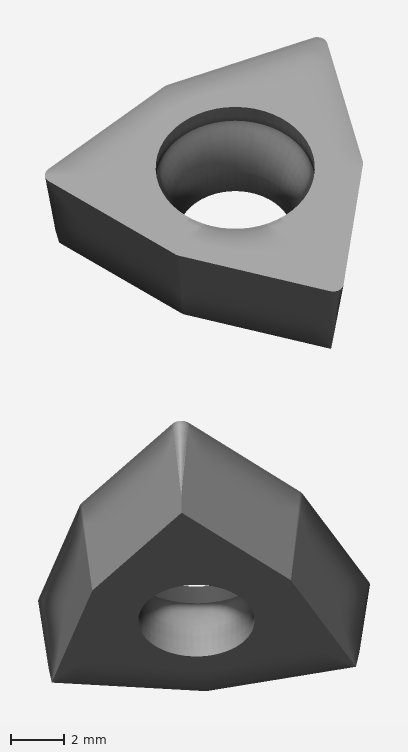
import cadquery as cq
import math

width_x = 12.38
thickness = 3.97
nose_radius = 0.4
relief_angle = 7.0
nose_angle = 80.0
nose_directions = (-140.0, -20.0, 100.0)

counterbore_diameter = 6.0
counterbore_depth = 0.8
bore_diameter = 4.4
seat_radius = 3.0


def polar(radius, degrees):
    angle = math.radians(degrees)
    return (radius * math.cos(angle), radius * math.sin(angle))


left_nose, right_nose, _ = nose_directions
nose_span = polar(1, right_nose)[0] - polar(1, left_nose)[0]
core_nose_distance = (width_x - 2 * nose_radius) / nose_span
core_inradius = core_nose_distance * math.sin(math.radians(nose_angle / 2))

obtuse_turn = 120 - (180 - nose_angle)
core_obtuse_distance = core_inradius / math.cos(math.radians(obtuse_turn / 2))

core_points = []
for direction in nose_directions:
    core_points.append(polar(core_nose_distance, direction))
    core_points.append(polar(core_obtuse_distance, direction + 60))

cone_height = nose_radius / math.tan(math.radians(relief_angle))
core_level = thickness - cone_height


def tapered_block(height, taper):
    """Extrude the core trigon from its level; a negative taper widens it."""
    core = cq.Workplane("XY", origin=(0, 0, core_level)).polyline(core_points).close()
    return core.extrude(height, taper=taper)


def screw_hole():
    """Counterbore, convex seat and through bore as one revolved solid."""
    bore_radius = bore_diameter / 2
    rim_radius = counterbore_diameter / 2
    arc_center_x = bore_radius + seat_radius
    seat_height = math.sqrt(seat_radius**2 - (arc_center_x - rim_radius) ** 2)
    seat_top = thickness - counterbore_depth
    seat_bottom = seat_top - seat_height
    half_sweep = math.asin(seat_height / seat_radius) / 2
    arc_middle = (
        arc_center_x - seat_radius * math.cos(half_sweep),
        seat_bottom + seat_radius * math.sin(half_sweep),
    )
    return (
        cq.Workplane("XZ")
        .lineTo(bore_radius, 0)
        .lineTo(bore_radius, seat_bottom)
        .threePointArc(arc_middle, (rim_radius, seat_top))
        .lineTo(rim_radius, thickness)
        .lineTo(0, thickness)
        .close()
        .revolve(360, (0, 0), (0, 1))
    )


rounded_upper = tapered_block(cone_height, -relief_angle)
sharp_lower = tapered_block(-core_level, relief_angle)
body = rounded_upper.union(sharp_lower).clean()
result = body.cut(screw_hole())